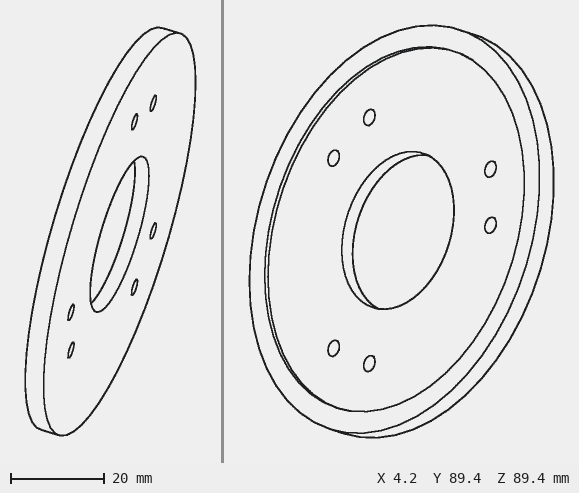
import cadquery as cq

disc_diameter = 89.4
disc_thickness = 4.2
front_x = -disc_thickness / 2
bore_diameter = 34.5

recess_diameter = 79.9
recess_depth = 1.0

hole_diameter = 3.5
pair_count = 3
pair_distance = 28.5
pair_spacing = 12.7


def cylinder_along_x(diameter, start_x, length):
    return cq.Workplane("YZ", origin=(start_x, 0, 0)).circle(diameter / 2).extrude(length)


def hole_pair(angle):
    """Two through holes, with the middle of the pair turned by angle from -Y."""
    holes = (
        cq.Workplane("YZ", origin=(front_x, 0, 0))
        .pushPoints([(-pair_distance, -pair_spacing / 2), (-pair_distance, pair_spacing / 2)])
        .circle(hole_diameter / 2)
        .extrude(disc_thickness)
    )
    return holes.rotate((0, 0, 0), (1, 0, 0), angle)


disc = cylinder_along_x(disc_diameter, front_x, disc_thickness)
recess = cylinder_along_x(recess_diameter, front_x, recess_depth)
bore = cylinder_along_x(bore_diameter, front_x, disc_thickness)

result = disc.cut(recess).cut(bore)
for index in range(pair_count):
    result = result.cut(hole_pair(index * 360 / pair_count))